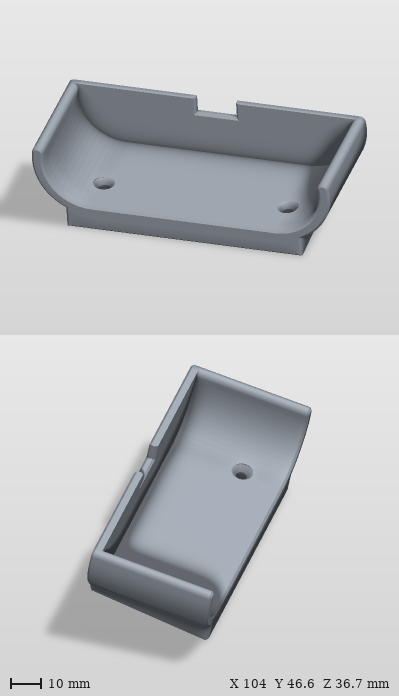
import cadquery as cq
import math

half_width = 52.0
length = 43.0
wall_height = 21.0
side_thickness = 4.0
back_thickness = 3.0
outer_radius = 20.0
tilt_angle = 10.0
edge_chamfer = 0.8

base_half_width = 41.0
base_depth_front = 9.0
wedge_angle = 5.0

notch_width = 14.0
notch_depth = 5.8

hole_diameter = 3.5
countersink_diameter = 7.3
hole_distance_from_front = 14.8

rim_radius = side_thickness / 2
inner_radius = outer_radius - side_thickness
floor_half_width = half_width - outer_radius
corner_center_z = inner_radius
rim_center_z = wall_height - rim_radius
rim_path_radius = outer_radius - rim_radius
rim_angle = math.asin((rim_center_z - corner_center_z) / rim_path_radius)
rim_center_x = floor_half_width + rim_path_radius * math.cos(rim_angle)
base_depth_back = base_depth_front - length * math.tan(math.radians(wedge_angle))


def trough_solid(corner_radius, rim_side, depth):
    """Trough bounded by the outer (rim_side 1) or inner (rim_side -1) skin of the wall.

    Each curved side runs from the flat floor past horizontal into the round rim.
    """
    inner_rim_angle = rim_angle + math.pi
    rim_start_angle = rim_angle if rim_side > 0 else inner_rim_angle
    rim_mid_angle = (rim_start_angle + math.pi / 2) / 2
    corner_mid_angle = (rim_angle - math.pi / 2) / 2

    floor_end = (floor_half_width, corner_center_z - corner_radius)
    corner_mid = (
        floor_half_width + corner_radius * math.cos(corner_mid_angle),
        corner_center_z + corner_radius * math.sin(corner_mid_angle),
    )
    corner_end = (
        floor_half_width + corner_radius * math.cos(rim_angle),
        corner_center_z + corner_radius * math.sin(rim_angle),
    )
    rim_mid = (
        rim_center_x + rim_radius * math.cos(rim_mid_angle),
        rim_center_z + rim_radius * math.sin(rim_mid_angle),
    )
    rim_top = (rim_center_x, wall_height)

    def mirrored(point):
        return (-point[0], point[1])

    return (
        cq.Workplane("XZ")
        .moveTo(*mirrored(floor_end))
        .lineTo(*floor_end)
        .threePointArc(corner_mid, corner_end)
        .threePointArc(rim_mid, rim_top)
        .lineTo(*mirrored(rim_top))
        .threePointArc(mirrored(rim_mid), mirrored(corner_end))
        .threePointArc(mirrored(corner_mid), mirrored(floor_end))
        .close()
        .extrude(-depth)
    )


def make_base():
    """Wedge that thins toward the back, with its top level with the tray floor."""
    return (
        cq.Workplane("YZ")
        .polyline([(0, 0), (length, 0), (length, -base_depth_back), (0, -base_depth_front)])
        .close()
        .extrude(base_half_width, both=True)
    )


def cut_notch(body):
    """Cut the notch and bevel its rim on both faces of the back wall."""
    wall_middle = length - back_thickness / 2
    notch = cq.Workplane("XY").box(notch_width, back_thickness, 2 * notch_depth)
    body = body.cut(notch.translate((0, wall_middle, wall_height)))
    flared_width = notch_width + 2 * edge_chamfer
    flared_depth = notch_depth + edge_chamfer
    for face_y, inward in ((length - back_thickness, 1), (length, -1)):
        bevel = (
            cq.Workplane("XZ", origin=(0, face_y, wall_height))
            .rect(flared_width, 2 * flared_depth)
            .workplane(offset=-inward * edge_chamfer)
            .rect(notch_width, 2 * notch_depth)
            .loft(ruled=True)
        )
        body = body.cut(bevel)
    return body


def cut_screw_holes(body):
    """Drill countersunk holes at the edges of the flat floor, square to it.

    The countersink continues straight up so it also clears the curved side.
    """
    centers = [(side * floor_half_width, hole_distance_from_front) for side in (-1, 1)]
    floor = cq.Workplane("XY").pushPoints(centers)
    body = body.cut(floor.circle(hole_diameter / 2).extrude(-base_depth_front))
    body = body.cut(floor.circle(countersink_diameter / 2).extrude(rim_center_z))
    sink_depth = (countersink_diameter - hole_diameter) / 2
    for x, y in centers:
        cone = cq.Solid.makeCone(
            hole_diameter / 2, countersink_diameter / 2, sink_depth, cq.Vector(x, y, -sink_depth)
        )
        body = body.cut(cq.Workplane(cone))
    return body


cavity = trough_solid(inner_radius, -1, length - back_thickness)
body = trough_solid(outer_radius, 1, length).union(make_base()).cut(cavity).clean()
body = body.faces("<Y").edges().chamfer(edge_chamfer)
body = body.faces(">Y").edges().chamfer(edge_chamfer)
body = cut_notch(body)
body = cut_screw_holes(body)
result = body.rotate((0, 0, 0), (1, 0, 0), tilt_angle)